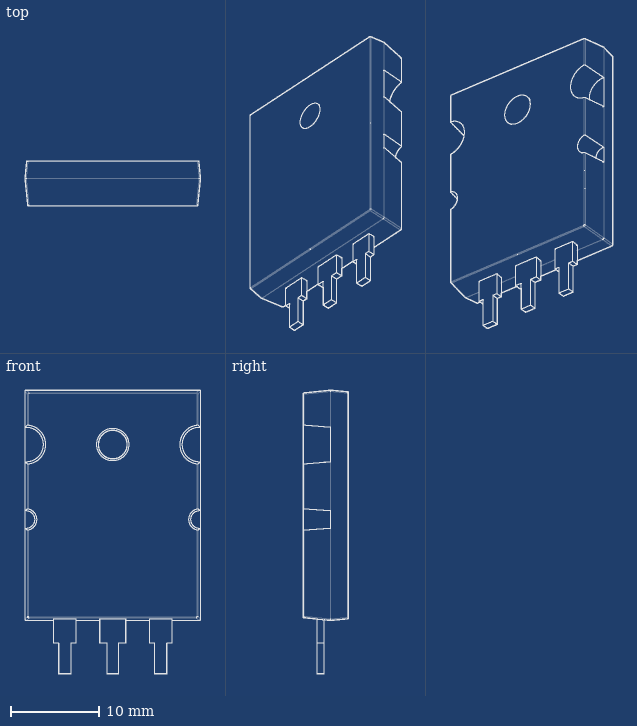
import cadquery as cq

total_height = 32.25
body_width = 19.95
body_height = 26.2
front_depth = 3.13
back_depth = 2.0
front_inset = 0.32
back_inset = 0.2
edge_radius = 0.1
corner_radius = 0.15

hole_drop = 6.2
hole_radius = 1.6
hole_mouth_radius = 1.85
notch_center_inset = 0.13
big_notch_drop = 6.2
big_notch_radius = 1.97
big_notch_mouth_radius = 2.23
small_notch_drop = 14.7
small_notch_radius = 1.0
small_notch_mouth_radius = 1.23

lead_pitch = 5.45
lead_thickness = 0.85
lead_front_gap = 1.55
shoulder_length = 2.55
lead_embed = 0.65
outer_shoulder_width = 2.58
middle_shoulder_width = 3.0
outer_tip_width = 1.42
middle_tip_width = 1.35

front_y = -front_depth
body_top = total_height
body_bottom = total_height - body_height
body_mid = (body_top + body_bottom) / 2


def tapered_half(depth, inset, direction):
    """Loft from the parting plane to a smaller rectangle, with its edges rounded."""
    half = (
        cq.Workplane("XZ", origin=(0, 0, body_mid))
        .rect(body_width, body_height)
        .workplane(offset=-direction * depth)
        .rect(body_width - 2 * inset, body_height - 2 * inset)
        .loft(combine=True)
    )
    half = half.edges("not(#Y)").fillet(corner_radius)
    face = ">Y" if direction > 0 else "<Y"
    return half.faces(face).edges().fillet(edge_radius)


def tapered_cutter(x, z, radius, mouth_radius):
    """Cone from the parting plane to the front face."""
    return (
        cq.Workplane("XZ", origin=(x, 0, z))
        .circle(radius)
        .workplane(offset=front_depth)
        .circle(mouth_radius)
        .loft(combine=True)
    )


def lead(x, shoulder_width, tip_width):
    """Flat stepped lead with its root embedded in the body."""
    lead_mid_y = front_y + lead_front_gap + lead_thickness / 2
    shoulder_bottom = body_bottom - shoulder_length
    shoulder = cq.Workplane("XY", origin=(x, lead_mid_y, shoulder_bottom)).rect(
        shoulder_width, lead_thickness
    ).extrude(shoulder_length + lead_embed)
    tip = cq.Workplane("XY", origin=(x, lead_mid_y, 0)).rect(
        tip_width, lead_thickness
    ).extrude(shoulder_bottom)
    return shoulder.union(tip)


body = tapered_half(front_depth, front_inset, -1).union(tapered_half(back_depth, back_inset, 1))

hole_z = body_top - hole_drop
straight_hole = cq.Workplane("XZ", origin=(0, 0, hole_z)).circle(hole_radius).extrude(-back_depth)
body = body.cut(straight_hole)
body = body.cut(tapered_cutter(0, hole_z, hole_radius, hole_mouth_radius))

notches = (
    (big_notch_drop, big_notch_radius, big_notch_mouth_radius),
    (small_notch_drop, small_notch_radius, small_notch_mouth_radius),
)
notch_x = body_width / 2 - notch_center_inset
for drop, radius, mouth_radius in notches:
    for side in (-1, 1):
        body = body.cut(tapered_cutter(side * notch_x, body_top - drop, radius, mouth_radius))

result = body.union(lead(0, middle_shoulder_width, middle_tip_width))
for side in (-1, 1):
    result = result.union(lead(side * lead_pitch, outer_shoulder_width, outer_tip_width))